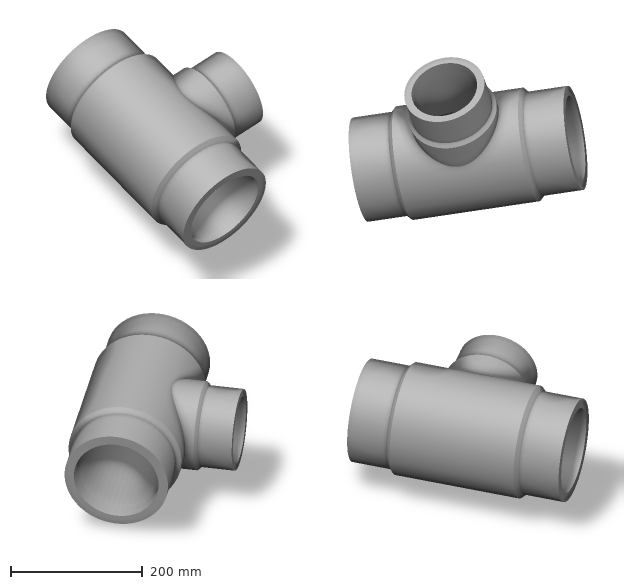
import cadquery as cq

run_length = 335.0
run_diameter = 160.0
run_wall = 14.6
run_spigot_length = 62.0
body_wall_increase = 7.3

branch_reach = 158.0
branch_diameter = 125.0
branch_wall = 11.4
branch_spigot_length = 52.0
collar_wall_increase = 5.7

run_bore = run_diameter - 2 * run_wall
body_diameter = run_diameter + 2 * body_wall_increase
body_length = run_length - 2 * run_spigot_length
branch_bore = branch_diameter - 2 * branch_wall
collar_diameter = branch_diameter + 2 * collar_wall_increase
collar_reach = branch_reach - branch_spigot_length


def run_cylinder(diameter, length):
    """Cylinder along X, centred on the origin."""
    return cq.Workplane("YZ").circle(diameter / 2).extrude(length / 2, both=True)


def branch_cylinder(diameter, reach):
    """Cylinder along +Y, from the run axis out to the given reach."""
    return cq.Workplane("XZ").circle(diameter / 2).extrude(-reach)


def make_run():
    """Pipe spigots with a thicker body whose ends taper down to the pipe."""
    body = run_cylinder(body_diameter, body_length)
    body = body.faces("<X or >X").chamfer(body_wall_increase)
    return run_cylinder(run_diameter, run_length).union(body)


def make_branch():
    """Branch spigot with a thicker collar that tapers down to the pipe."""
    collar = branch_cylinder(collar_diameter, collar_reach)
    collar = collar.faces(">Y").chamfer(collar_wall_increase)
    return branch_cylinder(branch_diameter, branch_reach).union(collar)


def make_bores():
    """Run bore right through, joined by the branch bore."""
    return run_cylinder(run_bore, run_length).union(branch_cylinder(branch_bore, branch_reach))


result = make_run().union(make_branch()).cut(make_bores())